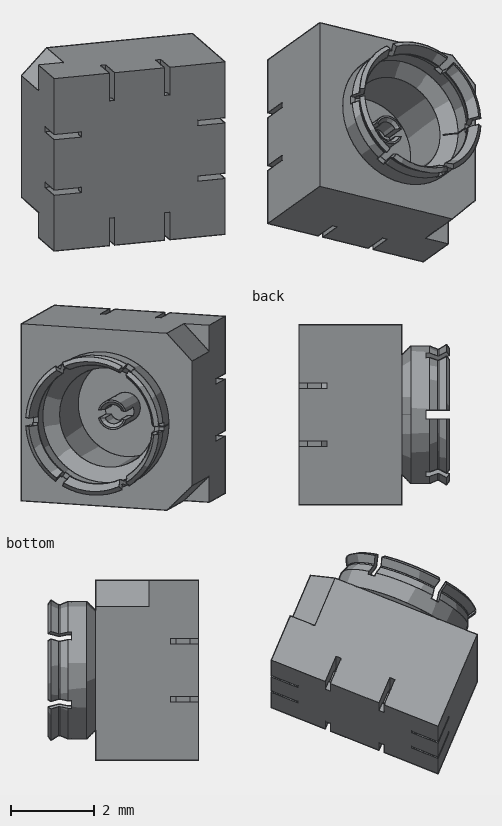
import cadquery as cq

body_width = 4.32
body_length = 2.465
socket_length = 1.145
total_length = socket_length + body_length

notch_leg = 0.64
notch_length = 1.275

lip_radius = 1.685
lip_x = 0.075
groove_radius = 1.572
groove_start_x = 0.26
groove_end_x = 0.295
collar_radius = 1.65
collar_start_x = 0.485
collar_end_x = 0.93
collar_taper = socket_length - collar_end_x
collar_wall = 0.125
rim_radius = 1.58

bore_radius = 1.21
bore_floor_x = 2.59
bore_cone_start_x = 0.885
bore_cone_end_x = 1.2

slot_count = 6
slot_width = 0.205
slot_depth = 0.56
slit_width = 0.02

pin_radius = 0.36
pin_tip_x = 1.555
pin_mouth_radius = 0.315
pin_hole_radius = 0.235
pin_countersink = pin_mouth_radius - pin_hole_radius
pin_hole_depth = slot_depth

edge_slot_width = 0.13
edge_slot_length = 0.68
edge_slot_offset = 0.695
edge_slot_first_step = 0.135
edge_slot_last_step = 0.207
core_radius = 1.382
edge_slot_floor = 1.125
edge_slot_step_height = 0.173
edge_slot_middle_floor = edge_slot_floor + edge_slot_step_height
edge_slot_last_floor = edge_slot_middle_floor + edge_slot_step_height


def box(x_start, x_end, y_start, y_end, z_start, z_end):
    """Box between pairs of coordinates."""
    size = (x_end - x_start, y_end - y_start, z_end - z_start)
    return cq.Workplane("XY").box(*size, centered=False).translate((x_start, y_start, z_start))


def revolve_about_x(profile):
    """Turn a closed (x, radius) profile about the X axis."""
    return cq.Workplane("XY").polyline(profile).close().revolve(360, (0, 0, 0), (1, 0, 0))


def make_body():
    half = body_width / 2
    body = box(socket_length, total_length, -half, half, -half, half)
    for side in (-1, 1):
        corner = [
            (-half, side * half),
            (-half + notch_leg, side * half),
            (-half, side * (half - notch_leg)),
        ]
        notch = cq.Workplane("YZ").workplane(offset=socket_length).polyline(corner).close()
        body = body.cut(notch.extrude(notch_length))
    return body


def make_collar():
    """Solid outer shape of the collar."""
    return revolve_about_x([
        (0, 0),
        (0, rim_radius),
        (lip_x, lip_radius),
        (groove_start_x, groove_radius),
        (groove_end_x, groove_radius),
        (collar_start_x, collar_radius),
        (collar_end_x, collar_radius),
        (socket_length, collar_radius - collar_taper),
        (socket_length, 0),
    ])


def make_bore():
    """Cavity following the collar wall, then narrowing to a blind bore."""
    return revolve_about_x([
        (0, 0),
        (0, rim_radius),
        (groove_start_x, groove_radius - collar_wall),
        (groove_end_x, groove_radius - collar_wall),
        (collar_start_x, collar_radius - collar_wall),
        (bore_cone_start_x, collar_radius - collar_wall),
        (bore_cone_end_x, bore_radius),
        (bore_floor_x, bore_radius),
        (bore_floor_x, 0),
    ])


def cut_spring_slots(part):
    slot = box(0, slot_depth, 0, lip_radius, -slot_width / 2, slot_width / 2)
    for index in range(slot_count):
        part = part.cut(slot.rotate((0, 0, 0), (1, 0, 0), 360 * index / slot_count))
    slit = box(slot_depth, socket_length, -lip_radius, -bore_radius, -slit_width / 2, slit_width / 2)
    return part.cut(slit)


def make_pin():
    slot_floor_x = pin_tip_x + pin_hole_depth
    pin = revolve_about_x([
        (pin_tip_x, pin_mouth_radius),
        (pin_tip_x, pin_radius),
        (bore_floor_x, pin_radius),
        (bore_floor_x, 0),
        (slot_floor_x, 0),
        (slot_floor_x, pin_hole_radius),
        (pin_tip_x + pin_countersink, pin_hole_radius),
    ])
    half = slot_width / 2
    return pin.cut(box(pin_tip_x, slot_floor_x, -pin_radius, pin_radius, -half, half))


def make_edge_slot():
    """Stepped cutter for one slot in the +Z side, centred on Y = 0."""
    half = body_width / 2
    start_x = total_length - edge_slot_length
    profile = [
        (start_x, half),
        (start_x, edge_slot_floor),
        (start_x + edge_slot_first_step, edge_slot_floor),
        (start_x + edge_slot_first_step, edge_slot_middle_floor),
        (total_length - edge_slot_last_step, edge_slot_middle_floor),
        (total_length - edge_slot_last_step, edge_slot_last_floor),
        (total_length, edge_slot_last_floor),
        (total_length, half),
    ]
    return cq.Workplane("XZ").polyline(profile).close().extrude(edge_slot_width / 2, both=True)


def cut_edge_slots(part):
    """Two slots per side; on the +Y and -Y sides their deepest step rests on the round core."""
    slot = make_edge_slot()
    core = cq.Workplane("YZ").circle(core_radius).extrude(total_length)
    for side in range(4):
        for offset in (-edge_slot_offset, edge_slot_offset):
            cutter = slot.translate((0, offset, 0)).rotate((0, 0, 0), (1, 0, 0), side * 90)
            if side % 2:
                cutter = cutter.cut(core)
            part = part.cut(cutter)
    return part


result = make_body().union(make_collar()).cut(make_bore())
result = cut_spring_slots(result)
result = result.union(make_pin())
result = cut_edge_slots(result)